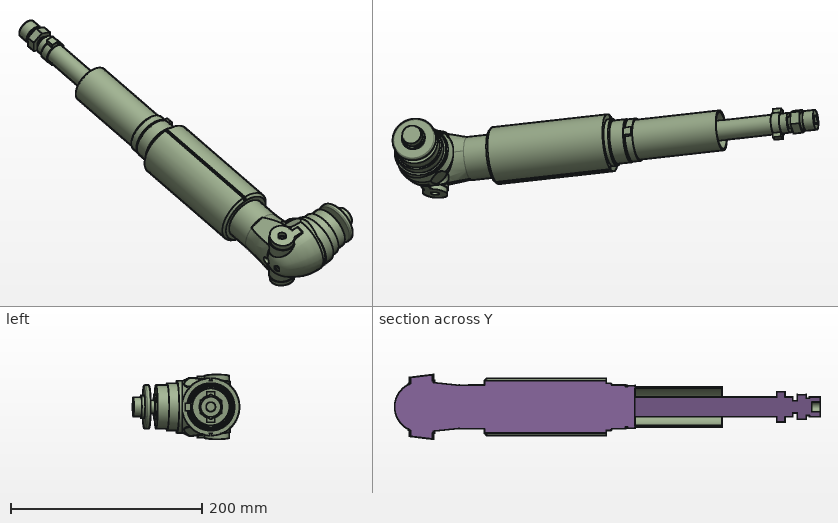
import cadquery as cq
import math


OVERALL_LENGTH = 449.2

HOSE_DIA = 21.0
NIPPLE_END = 11.5
NIPPLE_BORE_DIA = 10.0
NIPPLE_BORE_DEPTH = 9.0
RELIEF_DIA = 18.5
HEX_START = 15.0
HEX_END = 24.3
HEX_CORNER_DIA = 26.0
FITTING_NECK_DIA = 13.0
HOSE_START = 28.8
HOSE_CLIP_START = 37.0
HOSE_CLIP_END = 46.0
HOSE_CLIP_DIA = 24.0
HOSE_CLIP_EAR_WIDTH = 8.0
HOSE_CLIP_EAR_SPAN = 32.0

TUBE_START = 103.0
TUBE_DIA = 42.2
TUBE_BORE_DIA = 38.5
TUBE_CLIP_START = 193.5
TUBE_CLIP_END = 201.5
TUBE_CLIP_DIA = 45.0
TUBE_CLIP_EAR_REACH = 27.0
TUBE_CLIP_EAR_WIDTH = 8.0
REAR_CAP_START = 203.5
REAR_CAP_DIA = 46.0
COLLAR_START = 218.0
COLLAR_DIA = 50.0
COLLAR_CHAMFER = 1.5
GRIP_START = 223.5
GRIP_END = 351.5
GRIP_DIA = 60.0
GRIP_CHAMFER = 2.5
GRIP_SLOT_WIDTH = 2.2
GRIP_SLOT_DEPTH = 2.5
NECK_DIA = REAR_CAP_DIA

FLARE_START = 377.5
FLARE_END = 411.5
FLARE_HALF_HEIGHT = 33.0
FACET_POINT = (382.0, -16.0, 17.5)
FACET_SIDE_TILT = 19.5
FACET_RISE = 6.0
DOME_RADIUS = 30.5
DOME_X = OVERALL_LENGTH - DOME_RADIUS
DOME_CENTER_Y = 22.5
DOME_BOTTOM_Y = -NECK_DIA / 2
DOME_TOP_Y = 30.0
DOME_TOP_RADIUS = 27.0

LUG_X = 417.0
LUG_Y = -6.5
LUG_DIA = 26.0
LUG_HEIGHT = 32.5
LUG_BASE_DIA = 28.0
LUG_CAP_THICKNESS = 6.5
LUG_TILT = 7.0
CUT_CLEARANCE = 4.5
LUG_HOLE_DIA = 8.5
LUG_HOLE_DEPTH = 4.5
PILOT_DIA = 6.0
PILOT_DEPTH = 6.7
RIB_WIDTH = 8.0
RIB_X = 422.0
RIB_END_Y = 14.5
FLAT_DIA = 21.0
FLAT_CENTER = (406.0, 18.0, 25.0)
FLAT_TILT = 35.0
LARGE_HOLE_X = 410.5
LARGE_HOLE_DIA = 8.0
LARGE_HOLE_DEPTH = 13.5
SMALL_HOLE_X = 426.5
SMALL_HOLE_DIA = 6.7
SMALL_HOLE_DEPTH = 2.2

SPINDLE_X = 423.5
SPINDLE_TILT = 5.0
DISC_START = 64.5
DISC_EDGE_ROUND = 1.5
SPINDLE_STEPS = [
    (24.5, 35.5, 55.0),
    (35.5, 46.0, 50.0),
    (46.0, 57.5, 46.0),
    (57.5, 59.5, 26.0),
    (59.5, DISC_START, 14.0),
    (DISC_START, 70.0, 46.0),
    (70.0, 73.2, 24.3),
    (73.2, 81.5, 20.0),
]


def rod_x(start, end, diameter):
    """Solid cylinder on the tool axis between two X positions."""
    return cq.Workplane("YZ", origin=(start, 0, 0)).circle(diameter / 2).extrude(end - start)


def make_air_hose():
    hose = rod_x(0, NIPPLE_END, HOSE_DIA)
    hose = hose.union(rod_x(NIPPLE_END, HEX_START, RELIEF_DIA))
    nut = (
        cq.Workplane("YZ", origin=(HEX_START, 0, 0))
        .transformed(rotate=(0, 0, 90))
        .polygon(6, HEX_CORNER_DIA)
        .extrude(HEX_END - HEX_START)
    )
    hose = hose.union(nut)
    hose = hose.union(rod_x(HEX_END, HOSE_START, FITTING_NECK_DIA))
    hose = hose.union(rod_x(HOSE_START, TUBE_CLIP_START, HOSE_DIA))
    hose = hose.union(rod_x(HOSE_CLIP_START, HOSE_CLIP_END, HOSE_CLIP_DIA))
    clip_width = HOSE_CLIP_END - HOSE_CLIP_START
    ears = cq.Workplane("XY").box(clip_width, HOSE_CLIP_EAR_WIDTH, HOSE_CLIP_EAR_SPAN)
    hose = hose.union(ears.translate((HOSE_CLIP_START + clip_width / 2, 0, 0)))
    return hose.cut(rod_x(0, NIPPLE_BORE_DEPTH, NIPPLE_BORE_DIA))


def make_barrel():
    """Exhaust tube, clip, rear cap, collar, slotted grip and neck."""
    barrel = rod_x(TUBE_START, REAR_CAP_START, TUBE_DIA)
    barrel = barrel.union(rod_x(TUBE_CLIP_START, TUBE_CLIP_END, TUBE_CLIP_DIA))
    ear = cq.Workplane("XY").box(
        TUBE_CLIP_END - TUBE_CLIP_START, TUBE_CLIP_EAR_REACH, TUBE_CLIP_EAR_WIDTH,
        centered=(False, False, True),
    )
    barrel = barrel.union(ear.translate((TUBE_CLIP_START, 0, 0)))
    barrel = barrel.union(rod_x(REAR_CAP_START, COLLAR_START, REAR_CAP_DIA))
    collar = rod_x(COLLAR_START, GRIP_START, COLLAR_DIA).faces("<X").chamfer(COLLAR_CHAMFER)
    barrel = barrel.union(collar)
    barrel = barrel.union(make_grip())
    barrel = barrel.union(rod_x(GRIP_END, FLARE_START, NECK_DIA))
    return barrel.cut(rod_x(TUBE_START, TUBE_CLIP_START, TUBE_BORE_DIA))


def make_grip():
    grip = rod_x(GRIP_START, GRIP_END, GRIP_DIA).faces(">X").chamfer(GRIP_CHAMFER)
    length = GRIP_END - GRIP_START
    for side in (1, -1):
        slot = cq.Workplane("XY").box(length, GRIP_SLOT_WIDTH, 2 * GRIP_SLOT_DEPTH)
        grip = grip.cut(slot.translate((GRIP_START + length / 2, 0, side * GRIP_DIA / 2)))
    return grip


def make_flare():
    """Transition from the round neck to the taller head, with a flat facet on each flank."""
    flare = (
        cq.Workplane("YZ", origin=(FLARE_START, 0, 0))
        .circle(NECK_DIA / 2)
        .workplane(offset=FLARE_END - FLARE_START)
        .ellipse(NECK_DIA / 2, FLARE_HALF_HEIGHT)
        .loft(combine=True)
    )
    size = 4 * FLARE_HALF_HEIGHT
    facet = cq.Workplane("XY").box(size, size, size, centered=(True, True, False))
    facet = facet.rotate((0, 0, 0), (1, 0, 0), FACET_SIDE_TILT)
    facet = facet.rotate((0, 0, 0), (0, 1, 0), -FACET_RISE).translate(FACET_POINT)
    return flare.cut(facet).cut(facet.mirror("XY"))


def make_dome():
    """Half-ellipsoid heel with a slightly tapered top, turned about a line along Y."""
    depth = DOME_CENTER_Y - DOME_BOTTOM_Y
    diagonal = math.sqrt(0.5)
    profile = (
        cq.Workplane("XY", origin=(DOME_X, 0, 0))
        .moveTo(0, DOME_BOTTOM_Y)
        .spline(
            [
                (DOME_RADIUS * diagonal, DOME_CENTER_Y - depth * diagonal),
                (DOME_RADIUS, DOME_CENTER_Y),
            ],
            tangents=[(1, 0), (0, 1)],
            includeCurrent=True,
        )
        .lineTo(DOME_TOP_RADIUS, DOME_TOP_Y)
        .lineTo(0, DOME_TOP_Y)
        .close()
    )
    return profile.revolve(360, (0, 0, 0), (0, 1, 0))


def make_nose_and_spindle():
    """Stepped round stack on the tilted spindle axis."""
    stack = None
    for start, end, diameter in SPINDLE_STEPS:
        step = cq.Workplane("XZ", origin=(0, start, 0)).circle(diameter / 2).extrude(start - end)
        if start == DISC_START:
            step = step.edges().fillet(DISC_EDGE_ROUND)
        stack = step if stack is None else stack.union(step)
    stack = stack.rotate((0, 0, 0), (0, 0, 1), SPINDLE_TILT)
    return stack.translate((SPINDLE_X, 0, 0))


def below_lug_top(height):
    """Large block under a plane that tilts with the lug and meets its axis at a height."""
    size = 4 * LUG_HEIGHT
    block = cq.Workplane("XY").box(size, size, size, centered=(True, True, False))
    block = block.translate((0, 0, -size))
    return block.rotate((0, 0, 0), (0, 1, 0), LUG_TILT).translate((0, 0, height))


def make_lug():
    """Screw lug on the +Z flank: a cap on a wider base, with a rib running towards the nose."""
    blank_height = LUG_HEIGHT + CUT_CLEARANCE
    cap = cq.Workplane("XY").circle(LUG_DIA / 2).extrude(blank_height)
    rib = cq.Workplane("XY").box(
        RIB_WIDTH, RIB_END_Y - LUG_Y, blank_height, centered=(True, False, False)
    )
    cap = cap.union(rib.translate((RIB_X - LUG_X, 0, 0))).intersect(below_lug_top(LUG_HEIGHT))
    base = cq.Workplane("XY").circle(LUG_BASE_DIA / 2).extrude(blank_height)
    base = base.intersect(below_lug_top(LUG_HEIGHT - LUG_CAP_THICKNESS))
    return cap.union(base).translate((LUG_X, LUG_Y, 0))


def make_lug_hole():
    """Stepped screw hole in the top of the +Z lug."""
    top = cq.Workplane("XY", origin=(LUG_X, LUG_Y, LUG_HEIGHT + CUT_CLEARANCE))
    depth = LUG_HOLE_DEPTH + CUT_CLEARANCE
    hole = top.circle(LUG_HOLE_DIA / 2).extrude(-depth)
    return hole.union(top.circle(PILOT_DIA / 2).extrude(-depth - PILOT_DEPTH))


def make_flat_cutter():
    """Cylinder whose flat end leaves a round facet on the +Z flank."""
    cutter = cq.Workplane("XY").circle(FLAT_DIA / 2).extrude(FLAT_DIA)
    return cutter.rotate((0, 0, 0), (0, 1, 0), -FLAT_TILT).translate(FLAT_CENTER)


def heel_hole(x, diameter, depth):
    """Round hole along +Y from the underside of the head."""
    return (
        cq.Workplane("XZ", origin=(x, DOME_BOTTOM_Y + depth, 0))
        .circle(diameter / 2)
        .extrude(depth + CUT_CLEARANCE)
    )


def make_head():
    head = make_flare().union(make_dome()).union(make_nose_and_spindle())
    cutter = make_flat_cutter()
    lug = make_lug()
    head = head.cut(cutter).cut(cutter.mirror("XY"))
    head = head.union(lug).union(lug.mirror("XY"))
    lug_hole = make_lug_hole()
    head = head.cut(lug_hole).cut(lug_hole.mirror("XY"))
    head = head.cut(heel_hole(LARGE_HOLE_X, LARGE_HOLE_DIA, LARGE_HOLE_DEPTH))
    head = head.cut(heel_hole(LARGE_HOLE_X, PILOT_DIA, LARGE_HOLE_DEPTH + PILOT_DEPTH))
    return head.cut(heel_hole(SMALL_HOLE_X, SMALL_HOLE_DIA, SMALL_HOLE_DEPTH))


air_hose = make_air_hose()
tool = make_barrel().union(make_head())

result = cq.Compound.makeCompound([tool.val(), air_hose.val()])